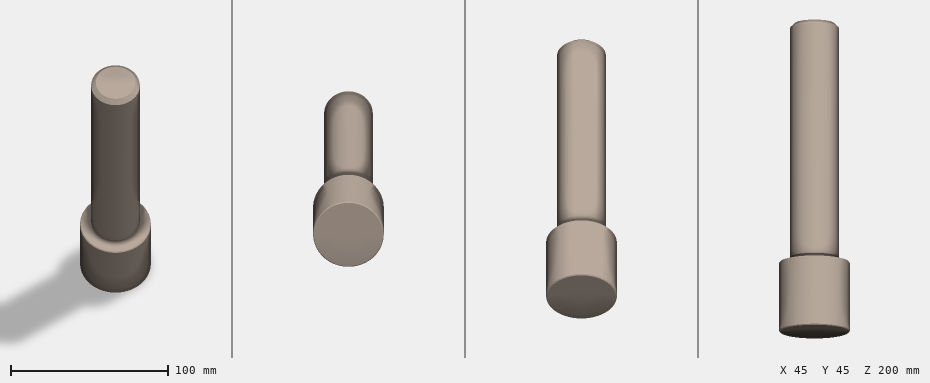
import cadquery as cq

total_length = 200.0
head_diameter = 45.0
head_height = 45.0
shank_diameter = 31.0

head_bottom_chamfer = 0.5
head_top_chamfer = 0.5
tip_radial_chamfer = 3.0
tip_chamfer_height = 2.8

groove_height = 3.0
groove_depth = 1.0

head_radius = head_diameter / 2
shank_radius = shank_diameter / 2


def make_head():
    """Plain cylindrical head with a small chamfer on both rims."""
    head = cq.Workplane("XY").circle(head_radius).extrude(head_height)
    head = head.faces("<Z").edges().chamfer(head_bottom_chamfer)
    return head.faces(">Z").edges().chamfer(head_top_chamfer)


def make_shank():
    """Revolved shank with a rounded groove at the head and a chamfered tip."""
    groove_middle = head_height + groove_height / 2
    groove_top = head_height + groove_height
    profile = (
        cq.Workplane("XZ")
        .moveTo(0, head_height)
        .lineTo(shank_radius, head_height)
        .threePointArc(
            (shank_radius - groove_depth, groove_middle),
            (shank_radius, groove_top),
        )
        .lineTo(shank_radius, total_length - tip_chamfer_height)
        .lineTo(shank_radius - tip_radial_chamfer, total_length)
        .lineTo(0, total_length)
        .close()
    )
    return profile.revolve(360, (0, 0, 0), (0, 1, 0))


result = make_head().union(make_shank())